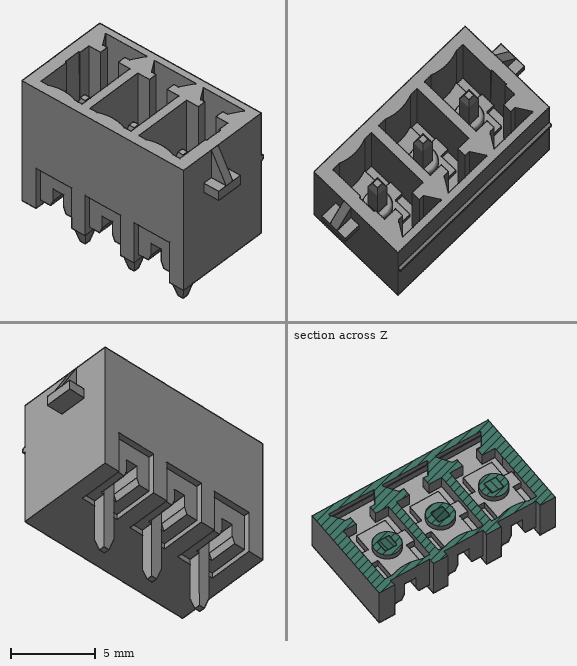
import cadquery as cq


pole_count = 3
pitch = 3.81
pole_positions = [(i - (pole_count - 1) / 2) * pitch for i in range(pole_count)]

housing_length = 12.6
housing_height = 9.2
front_y = -2.8
rear_y = 4.2

pin_width = 0.8
pin_tip_width = 0.4
pin_taper_length = 0.8
pin_bottom_z = -3.5
pin_top_z = 7.5

chamber_width = 3.2
chamber_front_y = -2.1
chamber_rear_y = 2.2
neck_width = 1.38
neck_rear_y = 2.8
dovetail_root_width = 2.1
dovetail_rear_y = 3.67
dovetail_step = 0.05
floor_z = 2.0

bulge_width = 2.1
bulge_height = 0.2

platform_width = 2.04
platform_rear_y = 1.7
platform_height = 0.5
arm_front_y = -0.52
arm_rear_y = 0.47
collar_diameter = 1.8
collar_height = 0.5
collar_edge_radius = 0.2

relief_front_y = 0.2
relief_rear_y = 1.42
relief_depth = 0.1

notch_width = 2.76
notch_height = 3.08
notch_depth = 0.4
notch_back_y = front_y + notch_depth
underside_recess_height = 0.4
slot_top_z = 1.78
slot_flare_z = 0.86
slot_mouth_width = 1.2

wing_reach = 1.16
wing_plate_width = 1.95
wing_plate_thickness = 0.7
wing_plate_top_z = housing_height - 2.12
wing_rib_width = 0.6

rear_rib_reach = 0.2
rear_rib_root_height = 0.44
rear_rib_tip_height = 0.24
rear_rib_z = 5.73


def block(x_range, y_range, z_range):
    """Box spanning the given ranges."""
    (x0, x1), (y0, y1), (z0, z1) = x_range, y_range, z_range
    return cq.Workplane("XY").box(x1 - x0, y1 - y0, z1 - z0, centered=False).translate((x0, y0, z0))


def centred_block(x, width, y_range, z_range):
    """Box of the given width, centred on x."""
    return block((x - width / 2, x + width / 2), y_range, z_range)


def pin(x):
    """Square pin with both ends tapered."""
    shank_bottom_z = pin_bottom_z + pin_taper_length
    shank_top_z = pin_top_z - pin_taper_length
    shank = (
        cq.Workplane("XY", origin=(x, 0, shank_bottom_z))
        .rect(pin_width, pin_width)
        .extrude(shank_top_z - shank_bottom_z)
    )
    for shank_end_z, tip_z in ((shank_bottom_z, pin_bottom_z), (shank_top_z, pin_top_z)):
        taper = (
            cq.Workplane("XY", origin=(x, 0, shank_end_z))
            .rect(pin_width, pin_width)
            .workplane(offset=tip_z - shank_end_z)
            .rect(pin_tip_width, pin_tip_width)
            .loft(ruled=True)
        )
        shank = shank.union(taper)
    return shank


def cavity(x):
    """Open-topped plug cavity with a bulged front wall and a stepped dovetail at the rear."""
    half_chamber = chamber_width / 2
    half_neck = neck_width / 2
    half_root = dovetail_root_width / 2
    half_bulge = bulge_width / 2
    straight_cavity = (
        cq.Workplane("XY", origin=(x, 0, floor_z))
        .moveTo(-half_chamber, chamber_front_y)
        .lineTo(-half_bulge, chamber_front_y)
        .threePointArc((0, chamber_front_y + bulge_height), (half_bulge, chamber_front_y))
        .lineTo(half_chamber, chamber_front_y)
        .lineTo(half_chamber, chamber_rear_y)
        .lineTo(half_neck, chamber_rear_y)
        .lineTo(half_neck, neck_rear_y)
        .lineTo(half_root, neck_rear_y)
        .lineTo(half_chamber, dovetail_rear_y)
        .lineTo(-half_chamber, dovetail_rear_y)
        .lineTo(-half_root, neck_rear_y)
        .lineTo(-half_neck, neck_rear_y)
        .lineTo(-half_neck, chamber_rear_y)
        .lineTo(-half_chamber, chamber_rear_y)
        .close()
        .extrude(housing_height - floor_z)
    )
    step = centred_block(
        x,
        chamber_width,
        (dovetail_rear_y, dovetail_rear_y + dovetail_step),
        (floor_z + platform_height, housing_height),
    )
    return straight_cavity.union(step)


def platform(x):
    """Cross-shaped platform with a collar around the pin."""
    platform_top_z = floor_z + platform_height
    z_range = (floor_z, platform_top_z)
    centre = centred_block(x, platform_width, (chamber_front_y, platform_rear_y), z_range)
    arm = centred_block(x, chamber_width, (arm_front_y, arm_rear_y), z_range)
    collar = (
        cq.Workplane("XY", origin=(x, 0, platform_top_z))
        .circle(collar_diameter / 2)
        .extrude(collar_height)
        .faces(">Z")
        .edges()
        .fillet(collar_edge_radius)
    )
    return centre.union(arm).union(collar)


def front_notch(x):
    """Shallow front notch, with a slot back to the pin and an underside recess reaching behind it."""
    pin_front_y = -pin_width / 2
    pin_rear_y = pin_width / 2
    notch = centred_block(x, notch_width, (front_y, notch_back_y), (0, notch_height))
    recess = centred_block(x, notch_width, (front_y, pin_rear_y), (0, underside_recess_height))
    slot = (
        cq.Workplane("XZ", origin=(x, pin_front_y, 0))
        .moveTo(-slot_mouth_width / 2, underside_recess_height)
        .lineTo(-pin_width / 2, slot_flare_z)
        .lineTo(-pin_width / 2, slot_top_z)
        .lineTo(pin_width / 2, slot_top_z)
        .lineTo(pin_width / 2, slot_flare_z)
        .lineTo(slot_mouth_width / 2, underside_recess_height)
        .close()
        .extrude(pin_front_y - front_y)
    )
    return notch.union(recess).union(slot)


def end_relief(side):
    """Wedge cut into an end wall of the pin row, deepest at the top."""
    wall_x = side * (pole_positions[-1] + chamber_width / 2)
    return (
        cq.Workplane("XZ", origin=(0, relief_rear_y, 0))
        .moveTo(wall_x, floor_z)
        .lineTo(wall_x, housing_height)
        .lineTo(wall_x + side * relief_depth, housing_height)
        .close()
        .extrude(relief_rear_y - relief_front_y)
    )


def wing(side):
    """Latch plate on an end face, braced by a sloping rib above it."""
    wall_x = side * housing_length / 2
    outer_x = wall_x + side * wing_reach
    plate = (
        cq.Workplane("XY", origin=((wall_x + outer_x) / 2, 0, wing_plate_top_z - wing_plate_thickness))
        .rect(wing_reach, wing_plate_width)
        .extrude(wing_plate_thickness)
    )
    rib = (
        cq.Workplane("XZ", origin=(0, wing_rib_width / 2, 0))
        .moveTo(wall_x, wing_plate_top_z)
        .lineTo(outer_x, wing_plate_top_z)
        .lineTo(wall_x, housing_height)
        .close()
        .extrude(wing_rib_width)
    )
    return plate.union(rib)


def rear_rib():
    """Trapezoidal rib along the whole rear face."""
    half_root = rear_rib_root_height / 2
    half_tip = rear_rib_tip_height / 2
    return (
        cq.Workplane("YZ", origin=(-housing_length / 2, rear_y, rear_rib_z))
        .moveTo(0, -half_root)
        .lineTo(rear_rib_reach, -half_tip)
        .lineTo(rear_rib_reach, half_tip)
        .lineTo(0, half_root)
        .close()
        .extrude(housing_length)
    )


pins = [pin(x) for x in pole_positions]

housing = centred_block(0, housing_length, (front_y, rear_y), (0, housing_height)).union(rear_rib())
for end in (-1, 1):
    housing = housing.union(wing(end))
    housing = housing.cut(end_relief(end))
for pole_x, pole_pin in zip(pole_positions, pins):
    housing = housing.cut(cavity(pole_x)).union(platform(pole_x))
    housing = housing.cut(front_notch(pole_x)).cut(pole_pin)

result = cq.Compound.makeCompound([housing.val(), *[pole_pin.val() for pole_pin in pins]])